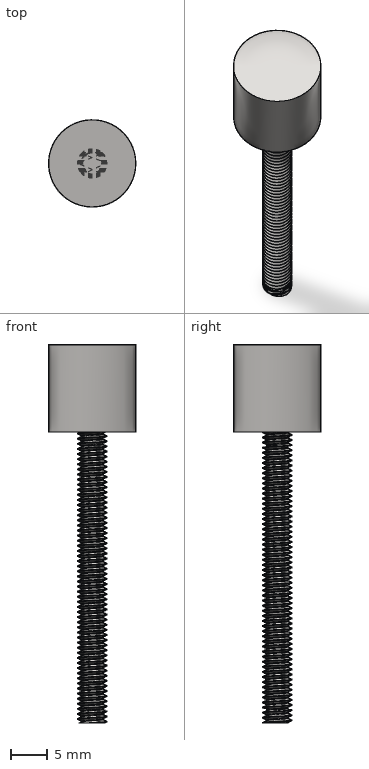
import cadquery as cq
import math

total_length = 52
knob_diameter = 12.0
knob_height = 12.0
thread_diameter = 4.0
root_diameter = 2.95
thread_turns = 57.1
root_gap = 0.1
ridge_embed = 0.025
lowest_crest_z = 0.2
turns_past_end = 2

screw_length = total_length - knob_height
pitch = screw_length / thread_turns
crest_width = pitch / 8
crest_radius = thread_diameter / 2
root_radius = root_diameter / 2
flank_slope = (pitch - root_gap - crest_width) / 2 / (crest_radius - root_radius)


def make_knob():
    """Plain round knob that sits on the top end of the screw."""
    return cq.Workplane("XY").workplane(offset=screw_length).circle(knob_diameter / 2).extrude(knob_height)


def make_thread_ridge():
    """Right-handed helical ridge that runs past both ends of the screw."""
    base_radius = root_radius - ridge_embed
    base_half = crest_width / 2 + flank_slope * (crest_radius - base_radius)
    start_z = lowest_crest_z - turns_past_end * pitch
    ridge_length = (math.ceil(thread_turns) + 2 * turns_past_end) * pitch

    corners = [
        (base_radius, start_z - base_half),
        (crest_radius, start_z - crest_width / 2),
        (crest_radius, start_z + crest_width / 2),
        (base_radius, start_z + base_half),
    ]

    helices = []
    for radius, height in corners:
        helices.append(cq.Wire.makeHelix(pitch, ridge_length, radius, center=cq.Vector(0, 0, height)))
    faces = []
    for index, helix in enumerate(helices):
        next_helix = helices[(index + 1) % len(helices)]
        faces.extend(cq.Face.makeRuledSurface(helix, next_helix).Faces())

    for rise in (0, ridge_length):
        cap_points = [cq.Vector(radius, 0, height + rise) for radius, height in corners]
        faces.append(cq.Face.makeFromWires(cq.Wire.makePolygon(cap_points, close=True)))
    return cq.Workplane(cq.Solid.makeSolid(cq.Shell.makeShell(faces)).fix())


def make_screw():
    """Threaded rod: a round core and its ridge, cut square at both ends."""
    core = cq.Workplane("XY").circle(root_radius).extrude(screw_length)
    envelope = cq.Workplane("XY").circle(knob_diameter / 2).extrude(screw_length)
    return core.union(make_thread_ridge().intersect(envelope))


knob = make_knob()
screw = make_screw()

result = cq.Compound.makeCompound([knob.val(), *screw.solids().vals()])